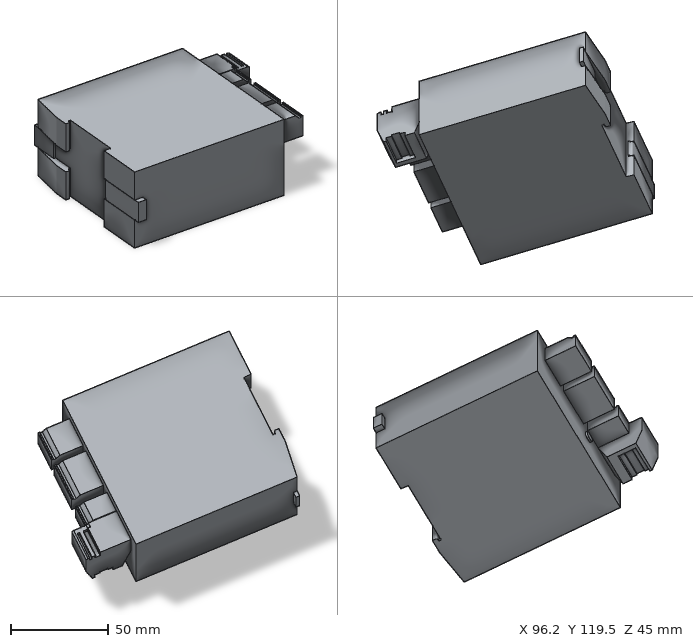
import cadquery as cq


housing_width = 90.0
housing_thickness = 45.0
housing_front = 94.2
overall_depth = 119.5
half_width = housing_width / 2

seat_half_width = 17.8
seat_wall_foot_x = 18.0
seat_depth = 4.2
hook_tip_x = -16.0
hook_top = 2.9
hook_round = 1.1
ramp_end_x = -24.0
ramp_height = 3.0

clip_reach = 96.2 / 2
clip_thickness = 11.8
clip_top = 5.1
fixed_clip_end_x = -31.0
latch_tip_x = 16.8
latch_tip_y = 2.9
latch_base = 0.1
latch_nose_radius = 4.2 / 2
latch_nose_x = 17.9
latch_nose_y = 1.3
latch_flat_x = 20.0

connector_top = 16.4
connector_underside = 3.0

plug_left = -38.8
plug_right = -21.2
plug_bottom = -11.1
plug_step_y = 111.5
plug_step_z = 14.7
plug_bevel_depth = 1.1
plug_bevel_height = 0.6
plug_nose_z = 0.0
plug_nose_foot_y = 116.0
plug_heel_y = 99.1
plug_recess_end_x = -23.5

groove_floor = 12.4
groove_back = 116.2
groove_front = 117.5
t_slot_shelf = 13.4
t_slot_middle = 112.9
t_slot_throat = 2.3
t_slot_width = 3.1
corner_notch_y = 110.0
corner_notch_z = 15.5
pocket_back = 104.3
pocket_front = 114.6
pocket_top = -8.4
pocket_crown_back = 107.2
pocket_crown_front = 111.7
pocket_crown_top = -7.2

socket_sides = [(-20.8, -9.5), (-5.0, 16.5), (19.8, 36.7)]
socket_front = 112.1
socket_slope_y = 107.3
socket_groove_y = 109.6
socket_groove_z = 14.2
socket_lip_y = 110.9
socket_lip_z = 15.0
socket_lip_bevel = 0.4

button_size = 5.4
button_right = -7.2
button_z = -3.7
button_height = 1.1
button_corner_radius = 4.2 / 2

overlap = 1.2


def block(x_range, y_range, z_range):
    """Box given by its two limits along each axis."""
    return cq.Workplane("XY").box(
        x_range[1] - x_range[0], y_range[1] - y_range[0], z_range[1] - z_range[0], centered=False
    ).translate((x_range[0], y_range[0], z_range[0]))


def side_profile(points, left, right):
    """Prism running along X from an outline of (Y, Z) points."""
    return cq.Workplane("YZ").workplane(offset=left).polyline(points).close().extrude(right - left)


def flat_profile(outline, thickness):
    """Prism along Z, centred on the middle of the thickness."""
    return outline.close().extrude(thickness / 2, both=True)


def make_housing():
    outline = (
        cq.Workplane("XY")
        .moveTo(-half_width, housing_front)
        .lineTo(-half_width, ramp_height)
        .lineTo(ramp_end_x, 0)
        .lineTo(hook_tip_x, 0)
        .lineTo(hook_tip_x, hook_top - hook_round)
        .radiusArc((hook_tip_x - hook_round, hook_top), -hook_round)
        .lineTo(-seat_half_width, hook_top)
        .lineTo(-seat_half_width, seat_depth)
        .lineTo(seat_half_width, seat_depth)
        .lineTo(seat_wall_foot_x, 0)
        .lineTo(half_width, 0)
        .lineTo(half_width, housing_front)
    )
    return flat_profile(outline, housing_thickness)


def clip_channel(x_range, depth):
    """Channel for a clip, cut into the middle of a foot."""
    return block(x_range, (0, depth), (-clip_thickness / 2, clip_thickness / 2))


def make_fixed_clip():
    return block(
        (-clip_reach, fixed_clip_end_x), (ramp_height, clip_top), (-clip_thickness / 2, clip_thickness / 2)
    )


def make_latch():
    outline = (
        cq.Workplane("XY")
        .moveTo(latch_tip_x, latch_tip_y)
        .lineTo(latch_nose_x, latch_nose_y)
        .radiusArc((latch_flat_x, latch_base), -latch_nose_radius)
        .lineTo(clip_reach, latch_base)
        .lineTo(clip_reach, clip_top)
        .lineTo(latch_flat_x, clip_top)
        .lineTo(latch_flat_x, latch_tip_y)
    )
    return flat_profile(outline, clip_thickness)


def make_plug():
    inner = housing_front - overlap
    plug = side_profile([
        (inner, connector_top),
        (plug_step_y, connector_top),
        (plug_step_y, plug_step_z),
        (overall_depth - plug_bevel_depth, plug_step_z),
        (overall_depth, plug_step_z - plug_bevel_height),
        (overall_depth, plug_nose_z),
        (plug_nose_foot_y, plug_bottom),
        (plug_heel_y, plug_bottom),
        (housing_front, connector_underside),
        (inner, connector_underside),
    ], plug_left, plug_right)

    recess = (plug_left, plug_recess_end_x)
    groove = block(recess, (groove_back, groove_front), (groove_floor, plug_step_z))
    throat = block(
        recess,
        (t_slot_middle - t_slot_throat / 2, t_slot_middle + t_slot_throat / 2),
        (groove_floor, plug_step_z),
    )
    undercut = block(
        recess,
        (t_slot_middle - t_slot_width / 2, t_slot_middle + t_slot_width / 2),
        (groove_floor, t_slot_shelf),
    )
    pocket = block(recess, (pocket_back, pocket_front), (plug_bottom, pocket_top))
    crown = block(recess, (pocket_crown_back, pocket_crown_front), (plug_bottom, pocket_crown_top))
    corner_notch = block(
        (plug_recess_end_x, plug_right), (corner_notch_y, plug_step_y), (corner_notch_z, connector_top)
    )
    for cutter in (groove, throat, undercut, pocket, crown, corner_notch):
        plug = plug.cut(cutter)
    return plug


def make_socket(left, right):
    inner = housing_front - overlap
    return side_profile([
        (inner, connector_top),
        (socket_slope_y, connector_top),
        (socket_groove_y, socket_groove_z),
        (socket_lip_y, socket_groove_z),
        (socket_lip_y, socket_lip_z),
        (socket_front - socket_lip_bevel, socket_lip_z),
        (socket_front, socket_lip_z - socket_lip_bevel),
        (socket_front, connector_underside),
        (inner, connector_underside),
    ], left, right)


def make_button():
    button = block(
        (button_right - button_size, button_right),
        (housing_front - overlap, housing_front + button_height),
        (button_z - button_size / 2, button_z + button_size / 2),
    )
    return button.edges("|Y").fillet(button_corner_radius)


result = make_housing()
result = result.cut(clip_channel((-half_width, hook_tip_x), seat_depth))
result = result.cut(clip_channel((seat_half_width, half_width), latch_tip_y))
result = result.union(make_fixed_clip()).union(make_latch())
result = result.union(make_plug()).union(make_button())
for socket_left, socket_right in socket_sides:
    result = result.union(make_socket(socket_left, socket_right))